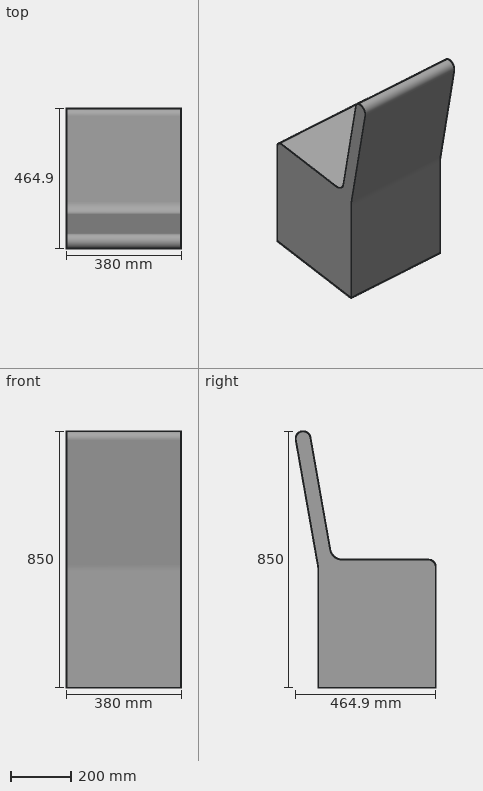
import cadquery as cq
import math

width = 380.0
base_depth = 390.0
seat_height = 425.0
total_height = 850.0

lean = math.radians(10.0)
back_thickness = 50.0
axis_start_y = 25.0
axis_start_z = 400.0

seat_front_radius = 25.0
seat_back_radius = 40.0
bend_radius = 100.0

top_radius = back_thickness / 2
top_center_z = total_height - top_radius
top_center_y = axis_start_y - (top_center_z - axis_start_z) * math.tan(lean)

tangent_y_offset = top_radius * math.cos(lean)
tangent_z_offset = top_radius * math.sin(lean)
top_front = (top_center_y + tangent_y_offset, top_center_z + tangent_z_offset)
top_rear = (top_center_y - tangent_y_offset, top_center_z - tangent_z_offset)
top_crown = (top_center_y, total_height)

seat_corner_y = top_front[0] + (top_front[1] - seat_height) * math.tan(lean)
bend_height = top_rear[1] + top_rear[0] / math.tan(lean)


def chair_block():
    """Chair with its side outline extruded along X, edges still sharp except the top."""
    return (
        cq.Workplane("YZ")
        .moveTo(0, 0)
        .lineTo(base_depth, 0)
        .lineTo(base_depth, seat_height)
        .lineTo(seat_corner_y, seat_height)
        .lineTo(*top_front)
        .threePointArc(top_crown, top_rear)
        .lineTo(0, bend_height)
        .close()
        .extrude(width / 2, both=True)
    )


def round_edge(body, y, z, radius):
    """Round the edge along X that lies at (y, z)."""
    nearest = cq.selectors.NearestToPointSelector((0, y, z))
    return body.edges("|X").edges(nearest).fillet(radius)


chair = chair_block()
chair = round_edge(chair, base_depth, seat_height, seat_front_radius)
chair = round_edge(chair, seat_corner_y, seat_height, seat_back_radius)
chair = round_edge(chair, 0, bend_height, bend_radius)

result = chair